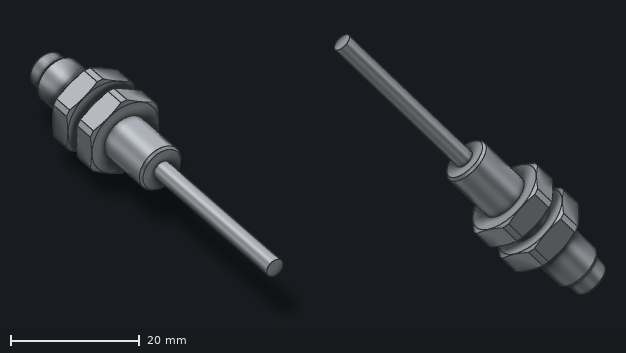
import cadquery as cq

overall_length = 60.1

nose_tip_diameter = 5.85
nose_front_diameter = 6.15
nose_rear_diameter = 6.4
nose_chamfer_length = 0.2

body_start = 2.95
body_end = 30.5
body_diameter = 8.0
body_chamfer_length = 0.5
body_chamfer_depth = 0.35

cable_diameter = 3.1

nut_starts = (10.6, 16.85)
nut_thickness = 4.0
nut_across_flats = 13.0
nut_corner_diameter = 14.35
nut_face_diameter = 12.85
nut_chamfer_length = 0.3


def turned(profile):
    """Revolve (x, radius) points about the X axis, closing the profile on the axis."""
    first_x = profile[0][0]
    last_x = profile[-1][0]
    outline = [(first_x, 0), *profile, (last_x, 0)]
    return cq.Workplane("XY").polyline(outline).close().revolve(360, (0, 0, 0), (1, 0, 0))


def make_nose():
    return turned([
        (0, nose_tip_diameter / 2),
        (nose_chamfer_length, nose_front_diameter / 2),
        (body_start, nose_rear_diameter / 2),
    ])


def make_body():
    radius = body_diameter / 2
    end_radius = radius - body_chamfer_depth
    return turned([
        (body_start, end_radius),
        (body_start + body_chamfer_length, radius),
        (body_end - body_chamfer_length, radius),
        (body_end, end_radius),
    ])


def make_cable():
    radius = cable_diameter / 2
    return turned([(body_end, radius), (overall_length, radius)])


def make_nut(start):
    """Hexagon with flats facing +Y and -Y, trimmed to a chamfered round blank."""
    end = start + nut_thickness
    corner_radius = nut_corner_diameter / 2
    face_radius = nut_face_diameter / 2
    blank = turned([
        (start, face_radius),
        (start + nut_chamfer_length, corner_radius),
        (end - nut_chamfer_length, corner_radius),
        (end, face_radius),
    ])
    hexagon = (
        cq.Workplane("YZ", origin=(start, 0, 0))
        .polygon(6, nut_across_flats, circumscribed=True)
        .extrude(nut_thickness)
    )
    return hexagon.intersect(blank)


result = make_nose().union(make_body()).union(make_cable())
for nut_start in nut_starts:
    result = result.union(make_nut(nut_start))